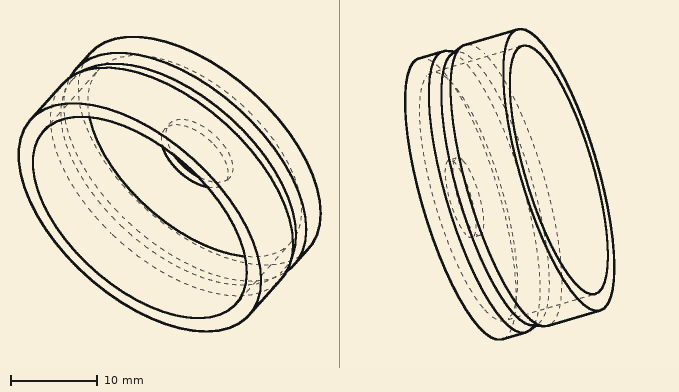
import cadquery as cq

outer_diameter = 34.0
bore_diameter = 30.0
hole_diameter = 9.4
length = 12.3
floor_thickness = 1.0

groove_offset = 3.0
groove_width = 2.72
groove_depth = 0.5

outer_radius = outer_diameter / 2
bore_radius = bore_diameter / 2
hole_radius = hole_diameter / 2
floor_inner_y = length - floor_thickness
groove_back_y = length - groove_offset
groove_front_y = groove_back_y - groove_width
groove_bottom_y = (groove_back_y + groove_front_y) / 2

half_section = (
    cq.Workplane("XY")
    .moveTo(bore_radius, 0)
    .lineTo(outer_radius, 0)
    .lineTo(outer_radius, groove_front_y)
    .lineTo(outer_radius - groove_depth, groove_bottom_y)
    .lineTo(outer_radius, groove_back_y)
    .lineTo(outer_radius, length)
    .lineTo(hole_radius, length)
    .lineTo(hole_radius, floor_inner_y)
    .lineTo(bore_radius, floor_inner_y)
    .close()
)

result = half_section.revolve(360, (0, 0, 0), (0, 1, 0))